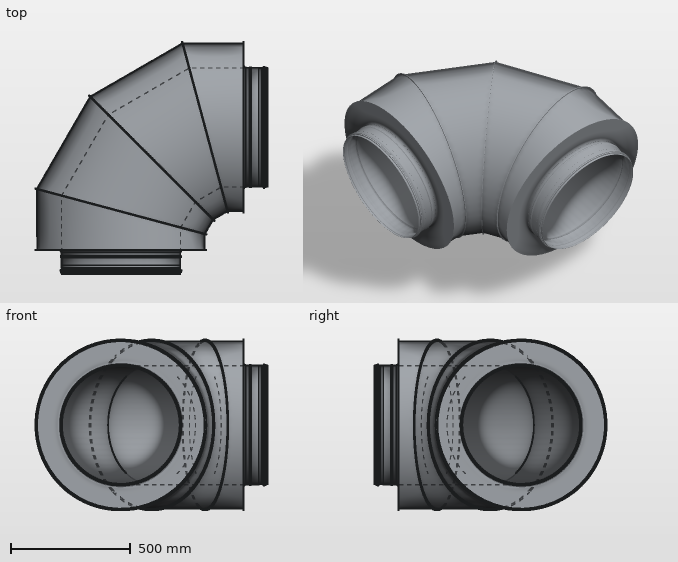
import cadquery as cq
import math


END_REACH = 614.0
SPIGOT_LENGTH = 100.0
BEND_RADIUS = 481.0
BEND_ANGLE = 90
MITRE_JOINTS = 3
SHEET = 1.0

JACKET_INNER_RADIUS = 350.0
JACKET_RADIUS = JACKET_INNER_RADIUS + SHEET
SEAM_RADIUS = 358.0
SEAM_WIDTH = 3.0
FLANGE_WIDTH = 2.0

DUCT_RADIUS = 499.0 / 2
BEAD_RADIUS = 252.0
BEAD_CENTRE = 27.0
BEAD_WIDTH = 10.0
BEAD_TIP_WIDTH = 3.0
NOSE_RADIUS = 249.0
NOSE_START = 63.0
GROOVE_RADIUS = 247.0
GROOVE_START = 74.0
GROOVE_FLOOR_START = 79.0
GROOVE_FLOOR_END = 91.0
GROOVE_END = 93.0
RIM_CURL = 1.0
RIM_CURL_START = 97.0

COLLAR_RADIUS = DUCT_RADIUS + SHEET
COLLAR_FLARE = 8.0
COLLAR_LENGTH = 9.0

GASKET_START = 80.0
LIP_RADIUS = 508.0 / 2
LIP_START = 84.0
LIP_END = 86.5
HEEL_RADIUS = 252.0

FACE_REACH = END_REACH - SPIGOT_LENGTH
JOINT_STEP = BEND_ANGLE / MITRE_JOINTS
CORNER_RADIUS = BEND_RADIUS / math.cos(math.radians(JOINT_STEP / 2))
JOINT_ANGLES = [180 - JOINT_STEP * (i + 0.5) for i in range(MITRE_JOINTS)]


def joint_corner(angle):
    """Centre line corner of the joint at this angle about the bend centre."""
    turn = math.radians(angle)
    return (
        BEND_RADIUS + CORNER_RADIUS * math.cos(turn),
        -BEND_RADIUS + CORNER_RADIUS * math.sin(turn),
    )


CORNERS = [joint_corner(angle) for angle in JOINT_ANGLES]


def mitred_bar(radius, reach):
    """Solid round bar along the segmented centre line, both ends at this reach."""
    start = (0, -reach)
    path = cq.Workplane("XY").polyline([start, *CORNERS, (reach, 0)])
    profile = cq.Workplane("XZ", origin=(*start, 0)).circle(radius)
    return profile.sweep(path, transition="right")


def end_profile():
    """Half section of the -Y end: local x is the radius, local y the station."""
    plane = cq.Plane(origin=(0, -FACE_REACH, 0), xDir=(1, 0, 0), normal=(0, 0, -1))
    return cq.Workplane(plane)


def ring(profile):
    """Turn a half section about the axis of the -Y end."""
    return profile.revolve(360, (0, 0), (0, 1))


def at_both_ends(body):
    """The body at the -Y end and its mirror image at the +X end."""
    return [body, body.mirror(cq.Vector(1, 1, 0), (0, 0, 0))]


def make_jacket():
    jacket = mitred_bar(JACKET_RADIUS, FACE_REACH)

    wide_bar = mitred_bar(SEAM_RADIUS, FACE_REACH)
    slice_size = 4 * SEAM_RADIUS
    for angle, corner in zip(JOINT_ANGLES, CORNERS):
        joint_slice = (
            cq.Workplane("XY")
            .box(slice_size, SEAM_WIDTH, slice_size)
            .rotate((0, 0, 0), (0, 0, 1), angle)
            .translate((*corner, 0))
        )
        jacket = jacket.union(wide_bar.intersect(joint_slice))

    flange_start = (0, FLANGE_WIDTH - FACE_REACH, 0)
    flange = cq.Workplane("XZ", origin=flange_start).circle(SEAM_RADIUS).extrude(FLANGE_WIDTH)
    for end_flange in at_both_ends(flange):
        jacket = jacket.union(end_flange)

    return jacket.cut(mitred_bar(JACKET_INNER_RADIUS, FACE_REACH))


def spigot_contour(inset):
    """Spigot surface from collar to open end, moved in towards the axis by the inset."""
    contour = [
        (DUCT_RADIUS, COLLAR_LENGTH),
        (DUCT_RADIUS, BEAD_CENTRE - BEAD_WIDTH / 2),
        (BEAD_RADIUS, BEAD_CENTRE - BEAD_TIP_WIDTH / 2),
        (BEAD_RADIUS, BEAD_CENTRE + BEAD_TIP_WIDTH / 2),
        (DUCT_RADIUS, BEAD_CENTRE + BEAD_WIDTH / 2),
        (DUCT_RADIUS, NOSE_START),
        (NOSE_RADIUS, NOSE_START),
        (NOSE_RADIUS, GROOVE_START),
        (GROOVE_RADIUS, GROOVE_FLOOR_START),
        (GROOVE_RADIUS, GROOVE_FLOOR_END),
        (NOSE_RADIUS, GROOVE_END),
        (NOSE_RADIUS, RIM_CURL_START),
        (NOSE_RADIUS - RIM_CURL, SPIGOT_LENGTH),
    ]
    return [(radius - inset, station) for radius, station in contour]


def make_duct():
    pipe_reach = FACE_REACH + COLLAR_LENGTH
    duct = mitred_bar(DUCT_RADIUS, pipe_reach).cut(mitred_bar(DUCT_RADIUS - SHEET, pipe_reach))
    outline = spigot_contour(0) + spigot_contour(SHEET)[::-1]
    spigot = ring(end_profile().polyline(outline).close())
    for end_spigot in at_both_ends(spigot):
        duct = duct.union(end_spigot)
    return duct


def make_cap():
    section = (
        end_profile()
        .moveTo(DUCT_RADIUS, -SHEET)
        .lineTo(JACKET_INNER_RADIUS, -SHEET)
        .lineTo(JACKET_INNER_RADIUS, 0)
        .lineTo(COLLAR_RADIUS + COLLAR_FLARE, 0)
        .radiusArc((COLLAR_RADIUS, COLLAR_FLARE), COLLAR_FLARE)
        .lineTo(COLLAR_RADIUS, COLLAR_LENGTH)
        .lineTo(DUCT_RADIUS, COLLAR_LENGTH)
        .close()
    )
    return ring(section)


def make_gasket():
    outline = [
        (GROOVE_RADIUS, GASKET_START),
        (LIP_RADIUS, LIP_START),
        (LIP_RADIUS, LIP_END),
        (HEEL_RADIUS, LIP_END),
        (HEEL_RADIUS, GROOVE_FLOOR_END),
        (GROOVE_RADIUS, GROOVE_FLOOR_END),
    ]
    return ring(end_profile().polyline(outline).close())


jacket = make_jacket()
duct = make_duct()
caps = at_both_ends(make_cap())
gaskets = at_both_ends(make_gasket())

bodies = [jacket, duct, *caps, *gaskets]
result = cq.Compound.makeCompound([body.solids().val() for body in bodies])